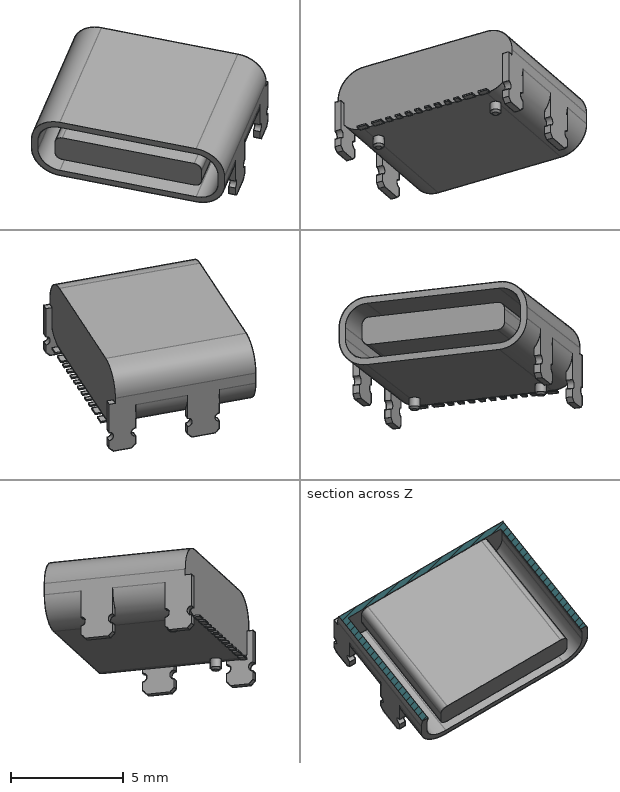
import cadquery as cq

shell_width = 8.94
shell_height = 3.16
shell_length = 6.61
shell_radius = 1.31
wall = 0.3
shell_bottom = -shell_height / 2

overall_length = 6.9
tail_length = overall_length - shell_length

tongue_width = 6.785
tongue_height = 1.28
tongue_radius = 0.34
tongue_recess = 0.045

leg_thickness = 0.31
leg_drop = 0.9
leg_height = shell_height / 2 + leg_drop
leg_chamfer = 0.2
front_leg_start = 1.72
front_leg_length = 1.49
rear_leg_length = 1.25
rear_leg_start = overall_length - rear_leg_length
notch_radius = 0.21
notch_z = shell_bottom - 0.11

peg_diameter = 0.5
peg_length = 0.5
peg_chamfer = 0.1
peg_offset_x = 3.0
peg_y = 5.54

pad_drop = 0.045
pad_thickness = 0.07
signal_count = 8
signal_pitch = 0.5
signal_width = 0.22
power_offset_x = 2.34
power_width = 0.49
ground_offset_x = 3.1
ground_width = 0.45


def rounded_bar(width, height, radius, start_y, end_y):
    """Bar along Y with a rounded-rectangle section centred on the Y axis."""
    length = end_y - start_y
    bar = cq.Workplane("XY").box(width, length, height).edges("|Y").fillet(radius)
    return bar.translate((0, start_y + length / 2, 0))


def make_leg(side, start_y, length):
    """Leg on the given X side (-1 or 1), necked by a round notch in each edge."""
    end_y = start_y + length
    plate = (
        cq.Workplane("XY")
        .box(leg_thickness, length, leg_height)
        .edges("|X and <Z")
        .chamfer(leg_chamfer)
        .translate((0, start_y + length / 2, -leg_height / 2))
    )
    notches = (
        cq.Workplane("YZ")
        .pushPoints([(start_y, notch_z), (end_y, notch_z)])
        .circle(notch_radius)
        .extrude(leg_thickness / 2, both=True)
    )
    centre_x = side * (shell_width - leg_thickness) / 2
    return plate.cut(notches).translate((centre_x, 0, 0))


def make_peg(x):
    """Round peg rooted in the bottom wall, with a chamfered tip."""
    peg = cq.Workplane("XY").circle(peg_diameter / 2).extrude(peg_length + wall)
    peg = peg.faces("<Z").chamfer(peg_chamfer)
    return peg.translate((x, peg_y, shell_bottom - peg_length))


def make_pad(x, width):
    """Thin pad standing out of the rear face at the bottom edge."""
    centre_y = shell_length + tail_length / 2
    centre_z = shell_bottom - pad_drop + pad_thickness / 2
    pad = cq.Workplane("XY").box(width, tail_length, pad_thickness)
    return pad.translate((x, centre_y, centre_z))


result = rounded_bar(shell_width, shell_height, shell_radius, 0, shell_length)

for side in (-1, 1):
    result = result.union(make_leg(side, front_leg_start, front_leg_length))
    result = result.union(make_leg(side, rear_leg_start, rear_leg_length))
    result = result.union(make_peg(side * peg_offset_x))
    result = result.union(make_pad(side * power_offset_x, power_width))
    result = result.union(make_pad(side * ground_offset_x, ground_width))

for index in range(signal_count):
    signal_x = (index - (signal_count - 1) / 2) * signal_pitch
    result = result.union(make_pad(signal_x, signal_width))

cavity_width = shell_width - 2 * wall
cavity_height = shell_height - 2 * wall
cavity = rounded_bar(cavity_width, cavity_height, shell_radius - wall, 0, shell_length - wall)
tongue = rounded_bar(tongue_width, tongue_height, tongue_radius, tongue_recess, shell_length)
result = result.cut(cavity).union(tongue)